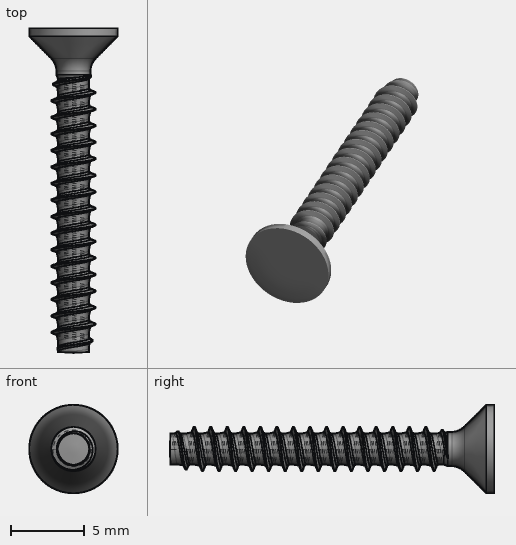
import cadquery as cq
import math

total_length = 22.0
head_radius = 3.003
head_rim_height = 0.55
cone_length = 1.5
neck_radius = 1.17
neck_fillet_length = 0.85
neck_length = 0.26
neck_taper_length = 0.26
core_radius = 1.05
tip_cone_height = 0.07

pitch = 1.12
crest_radius = 1.5
crest_half_width = 0.02
flank_foot_radius = 1.15
flank_foot_half_width = 0.15
recess_head_side = 0.35
recess_tip_side = 0.7
buried_radius = 1.03
thread_start = 0.275
thread_start_angle = 180
full_turns = 14.75
fade_turns = 1
fade_fraction = 0.15

thread_section = [
    (recess_head_side, buried_radius),
    (flank_foot_half_width, flank_foot_radius),
    (crest_half_width, crest_radius),
    (-crest_half_width, crest_radius),
    (-flank_foot_half_width, flank_foot_radius),
    (-recess_tip_side, buried_radius),
]


def make_body():
    """Turned body around Z: head, filleted neck, core and shallow pointed tip."""
    rim_bottom = total_length - head_rim_height
    cone_bottom = rim_bottom - cone_length
    neck_top = cone_bottom - neck_fillet_length
    neck_bottom = neck_top - neck_length
    fillet_angle = math.radians(45)
    fillet_radius = neck_fillet_length / math.sin(fillet_angle)
    cone_end_radius = neck_radius + fillet_radius * (1 - math.cos(fillet_angle))
    fillet_mid = (
        neck_radius + fillet_radius * (1 - math.cos(fillet_angle / 2)),
        neck_top + fillet_radius * math.sin(fillet_angle / 2),
    )
    return (
        cq.Workplane("XZ")
        .moveTo(0, 0)
        .lineTo(core_radius, tip_cone_height)
        .lineTo(core_radius, neck_bottom - neck_taper_length)
        .lineTo(neck_radius, neck_bottom)
        .lineTo(neck_radius, neck_top)
        .threePointArc(fillet_mid, (cone_end_radius, cone_bottom))
        .lineTo(head_radius, rim_bottom)
        .lineTo(head_radius, total_length)
        .lineTo(0, total_length)
        .close()
        .revolve(360, (0, 0, 0), (0, 1, 0))
    )


def helical_solid(section, turns, start_fraction=1.0):
    """Right-handed helix of the section along +Z, its height growing from start_fraction to full."""
    height = turns * pitch
    rails = []
    for offset, radius in section:
        start_radius = buried_radius + (radius - buried_radius) * start_fraction
        growth = radius - start_radius
        if growth > 0:
            slope_angle = math.atan2(growth, height)
            stretch = 1 / math.cos(slope_angle)
            rail = cq.Wire.makeHelix(
                pitch * stretch, height * stretch, start_radius, angle=math.degrees(slope_angle)
            )
        else:
            rail = cq.Wire.makeHelix(pitch, height, radius)
        rails.append(rail.translate(cq.Vector(0, 0, offset)))
    faces = []
    for i, rail in enumerate(rails):
        faces.append(cq.Face.makeRuledSurface(rails[i - 1].Edges()[0], rail.Edges()[0]))
    start_corners = [rail.startPoint() for rail in rails]
    end_corners = [rail.endPoint() for rail in rails]
    for corners in (start_corners, end_corners):
        faces.append(cq.Face.makeFromWires(cq.Wire.makePolygon(corners, close=True)))
    return cq.Solid.makeSolid(cq.Shell.makeShell(faces))


def place_on_helix(piece, turns_from_start):
    """Turn and lift a thread piece to its place, counted in turns from the thread start."""
    angle = thread_start_angle + 360 * turns_from_start
    lift = thread_start + pitch * turns_from_start
    return piece.rotate((0, 0, 0), (0, 0, 1), angle).translate((0, 0, lift))


def make_thread_pieces():
    """Fade-in at the tip, full thread, and fade-out below the neck."""
    tip_fade = place_on_helix(helical_solid(thread_section, fade_turns, fade_fraction), 0)
    full_thread = place_on_helix(helical_solid(thread_section, full_turns), fade_turns)

    flipped_section = [(-offset, radius) for offset, radius in thread_section]
    neck_fade = helical_solid(flipped_section, fade_turns, fade_fraction)
    neck_fade = neck_fade.rotate((0, 0, 0), (1, 0, 0), 180)
    neck_fade = place_on_helix(neck_fade, fade_turns + full_turns + fade_turns)

    beyond_tip = (
        cq.Workplane("XY", origin=(0, 0, tip_cone_height)).circle(2 * crest_radius).extrude(-2 * pitch)
    )
    return [tip_fade.cut(beyond_tip.val()), full_thread, neck_fade]


screw = make_body()
for piece in make_thread_pieces():
    screw = screw.union(cq.Workplane(piece))

result = screw.rotate((0, 0, 0), (1, 0, 0), -90)